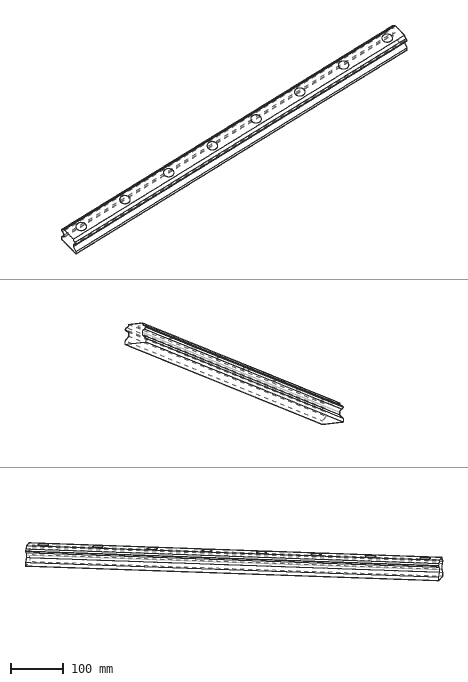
import cadquery as cq
import math

length = 795.0
width = 45.0
height = 38.0

foot_height = 7.0
waist_width = 29.5
waist_bottom = foot_height + (width - waist_width) / 2
waist_top = 20.0

top_width = 29.5
head_middle = (waist_top + height) / 2
tip_flat = 1.0
tip_chamfer = 3.0
track_sagitta = 1.4

hole_count = 8
hole_pitch = 105.0
hole_diameter = 20.0
recess_depth = 0.2


def track_middle(start, end):
    """Deepest point of a ball track, offset to the left of its chord from start to end."""
    run = end[0] - start[0]
    rise = end[1] - start[1]
    chord = math.hypot(run, rise)
    x = (start[0] + end[0]) / 2 - track_sagitta * rise / chord
    z = (start[1] + end[1]) / 2 + track_sagitta * run / chord
    return x, z


def rail_body():
    """Symmetric rail section extruded along Y, centred on the origin in Y."""
    waist_corner = (waist_width / 2, waist_top)
    top_corner = (top_width / 2, height)
    track_edge_x = width / 2 - tip_chamfer
    track_edge_rise = tip_flat / 2 + tip_chamfer
    lower_edge = (track_edge_x, head_middle - track_edge_rise)
    upper_edge = (track_edge_x, head_middle + track_edge_rise)
    right_half = (
        cq.Workplane("XZ")
        .lineTo(width / 2, 0)
        .lineTo(width / 2, foot_height)
        .lineTo(waist_width / 2, waist_bottom)
        .lineTo(*waist_corner)
        .threePointArc(track_middle(waist_corner, lower_edge), lower_edge)
        .lineTo(width / 2, head_middle - tip_flat / 2)
        .lineTo(width / 2, head_middle + tip_flat / 2)
        .lineTo(*upper_edge)
        .threePointArc(track_middle(upper_edge, top_corner), top_corner)
        .lineTo(0, height)
    )
    return right_half.mirrorY().extrude(length / 2, both=True)


def cap_recesses():
    """Row of shallow round recesses along the centre of the top face."""
    return (
        cq.Workplane("XY", origin=(0, 0, height))
        .rarray(8, hole_pitch, 1, hole_count)
        .circle(hole_diameter / 2)
        .extrude(-recess_depth)
    )


result = rail_body().cut(cap_recesses())